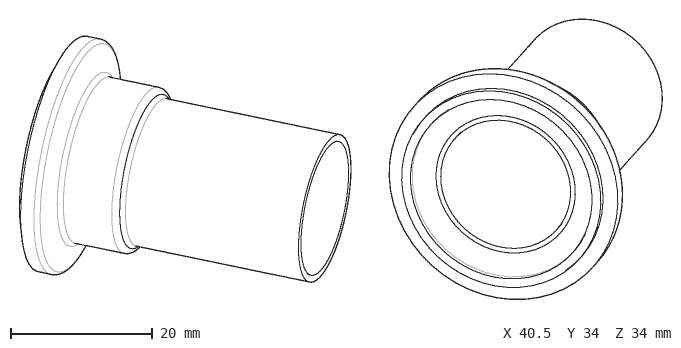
import cadquery as cq
import math

total_length = 40.5
lip_length = 1.0
shoulder_start = 12.87
inner_face_depth = 2.0
groove_wall_depth = 0.8

flange_radius = 17.0
lip_radius = 14.8
neck_radius = 12.0
tube_radius = 10.65
bore_radius = 9.65
groove_outer_radius = 13.5
groove_inner_radius = 10.35

rim_end = 3.58
back_slope_angle = 16.0
neck_start = rim_end + (flange_radius - neck_radius) * math.tan(math.radians(back_slope_angle))

blend_radius = 0.75

shoulder_radius = 0.87
shoulder_edge_position = shoulder_start + shoulder_radius
shoulder_edge_radius = neck_radius - shoulder_radius

tube_root_height = shoulder_edge_radius - tube_radius
tube_root_length = math.sqrt(tube_root_height * (2 * blend_radius - tube_root_height))
tube_start = shoulder_edge_position + tube_root_length


def revolve_about_x(profile):
    """Turn a closed (X, radius) profile once around the X axis."""
    return profile.revolve(360, (0, 0, 0), (1, 0, 0))


def round_circle(body, position, radius):
    """Round the circular outer edge of the given radius at one axial position."""
    margin = 0.01
    edge_box = cq.selectors.BoxSelector(
        (position - margin, -radius - margin, -radius - margin),
        (position + margin, radius + margin, radius + margin),
        boundingbox=True,
    )
    return body.edges(edge_box).edges("%CIRCLE").fillet(blend_radius)


def make_body():
    """Solid outer shape: lip, sloped clamp flange, neck, shoulder and tube."""
    body = revolve_about_x(
        cq.Workplane("XZ")
        .lineTo(0, lip_radius)
        .lineTo(lip_length, lip_radius)
        .lineTo(lip_length, flange_radius)
        .lineTo(rim_end, flange_radius)
        .lineTo(neck_start, neck_radius)
        .lineTo(shoulder_start, neck_radius)
        .tangentArcPoint((shoulder_edge_position, shoulder_edge_radius), relative=False)
        .radiusArc((tube_start, tube_radius), -blend_radius)
        .lineTo(total_length, tube_radius)
        .lineTo(total_length, 0)
        .close()
    )
    body = round_circle(body, rim_end, flange_radius)
    return round_circle(body, neck_start, neck_radius)


def make_bore():
    """Through bore along the tube."""
    return cq.Workplane("YZ").circle(bore_radius).extrude(total_length)


def make_groove():
    """Front recess: a short straight wall, a round groove and the flat ring around the bore."""
    return revolve_about_x(
        cq.Workplane("XZ")
        .lineTo(0, groove_outer_radius)
        .lineTo(groove_wall_depth, groove_outer_radius)
        .tangentArcPoint((inner_face_depth, groove_inner_radius), relative=False)
        .lineTo(inner_face_depth, 0)
        .close()
    )


result = make_body().cut(make_bore()).cut(make_groove())